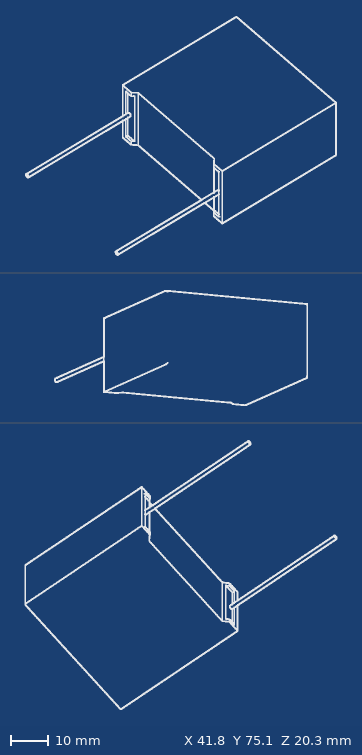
import cadquery as cq


housing_width = 41.8
housing_height = 20.3
total_length = 75.1
housing_length = 40.0
lead_length = total_length - housing_length

rear_edge_radius = 0.45
foot_width = 3.6
foot_height = 1.35
pocket_wall = 1.4
pocket_depth = 0.7

lead_spacing = 37.55
lead_diameter = 1.1

half_width = housing_width / 2
foot_inner_x = half_width - foot_width
recess_half_width = foot_inner_x - foot_height
pocket_outer_x = half_width - pocket_wall
pocket_inner_x = foot_inner_x - pocket_depth
pocket_height = housing_height - 2 * pocket_wall


def make_housing_block():
    """Box with a bevelled recess between the feet, rounded around its rear face."""
    outline = [
        (-half_width, 0),
        (-foot_inner_x, 0),
        (-recess_half_width, foot_height),
        (recess_half_width, foot_height),
        (foot_inner_x, 0),
        (half_width, 0),
        (half_width, housing_length),
        (-half_width, housing_length),
    ]
    block = cq.Workplane("XY").polyline(outline).close().extrude(housing_height / 2, both=True)
    return block.faces(">Y").edges().fillet(rear_edge_radius)


def make_pocket(side):
    """Cutter for the shallow pocket in one foot; side is -1 or 1 along X."""
    pocket_center_x = side * (pocket_outer_x + pocket_inner_x) / 2
    pocket_width = pocket_outer_x - pocket_inner_x
    return (
        cq.Workplane("XY")
        .box(pocket_width, pocket_depth, pocket_height)
        .translate((pocket_center_x, pocket_depth / 2, 0))
    )


def make_housing():
    housing = make_housing_block()
    for side in (-1, 1):
        housing = housing.cut(make_pocket(side))
    return housing


def make_lead(side):
    """Round wire standing on a pocket floor and running out along -Y."""
    return (
        cq.Workplane("XZ", origin=(side * lead_spacing / 2, pocket_depth, 0))
        .circle(lead_diameter / 2)
        .extrude(lead_length + pocket_depth)
    )


housing = make_housing()
leads = [make_lead(side) for side in (-1, 1)]

result = cq.Compound.makeCompound([housing.val(), *[lead.val() for lead in leads]])